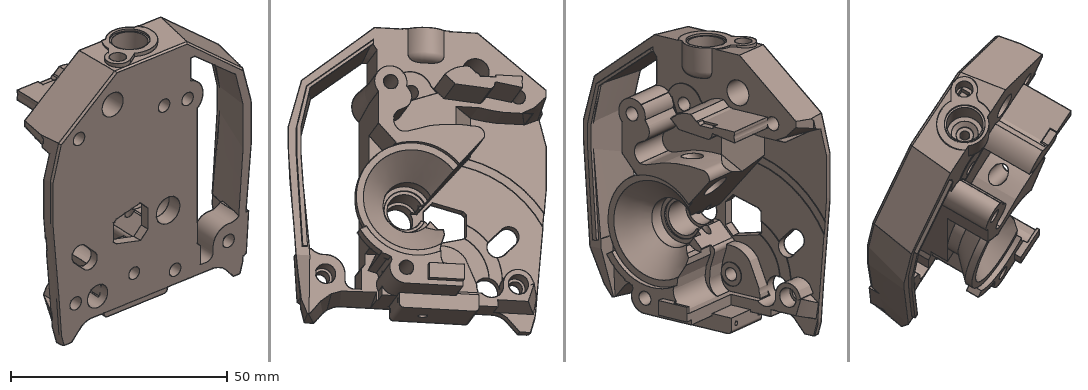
import cadquery as cq
import math


RIB_X = -12.85
TAB_X = -12.7
BLOCK_X = -11.0
RIM_X = -9.65
RIM_BACK_X = -7.8
FLANGE_X = -2.85
BOWL_FLOOR_X = -3.0
LIP_X = -0.9
PAD_X = -0.2
MATE_X = 0.0
BAND_X = 1.5
LEG_X = 4.0
LEDGE_X = 4.55
GEAR_FLOOR_X = 6.2
FLANGE_END_X = 9.0
WINDOW_X = 7.2
PLATE_X = 9.4
EDGE_X = 11.3
BACK_X = 11.85

MID_Y = -4.75
PIN_AXIS_X = 3.6
TOP_Z = 43.85
LOWER_LEDGE_Z = -17.4
SHOULDER_Z = -20.5
FOOT_Z = -24.84
BODY_LEFT_Y = 8.7
BLOCK_RIGHT_Y = -11.2

SCREW_D = 3.4
SCREW_COUNTERBORE_D = 4.7
COUNTERBORE_DEPTH = 4.0


def section(x):
    """Sketch plane across X: local x is Y, local y is Z."""
    return cq.Workplane("YZ", origin=(x, 0, 0))


def prism(points, x_from, x_to):
    return section(x_from).polyline(points).close().extrude(x_to - x_from)


def disc(diameter, y, z, x_from, x_to):
    return section(x_from).center(y, z).circle(diameter / 2).extrude(x_to - x_from)


def box(x_from, x_to, y_from, y_to, z_from, z_to):
    size = (x_to - x_from, y_to - y_from, z_to - z_from)
    return cq.Workplane("XY").box(*size, centered=False).translate((x_from, y_from, z_from))


def drafted(front, x_front, back, x_back):
    """Solid between two outlines with matching corners."""
    return (
        section(x_front).polyline(front).close()
        .workplane(offset=x_back - x_front).polyline(back).close()
        .loft(ruled=True)
    )


def turned(profile):
    """Solid of revolution about the bowl axis from (X, radius) points."""
    return cq.Workplane("XY").polyline(profile).close().revolve(360, (0, 0, 0), (1, 0, 0))


def upright(diameter, x, y, z_from, z_to):
    return (
        cq.Workplane("XY", origin=(x, y, z_from)).circle(diameter / 2).extrude(z_to - z_from)
    )


def mirrored_outline(half):
    left = [(MID_Y + offset, z) for offset, z in half]
    right = [(MID_Y - offset, z) for offset, z in reversed(half)]
    return left + right


def outer_shell():
    mate_half = [(12.15, 43.7), (29.4, 30.0), (32.55, 18.6), (32.55, 14.0),
                 (30.7, -12.0), (29.35, -21.7), (27.6, FOOT_Z)]
    edge_half = [(10.75, 42.8), (27.4, 29.55), (29.85, 20.2), (29.85, 9.0),
                 (28.0, -12.0), (27.3, -21.7), (26.5, FOOT_Z)]
    edge_chamfer = 0.35
    back_half = [(offset - edge_chamfer, z - edge_chamfer) for offset, z in edge_half[:-1]]
    back_half.append((edge_half[-1][0] - edge_chamfer, FOOT_Z))
    edge = mirrored_outline(edge_half)
    shell = drafted(mirrored_outline(mate_half), MATE_X, edge, EDGE_X)
    return shell.union(drafted(edge, EDGE_X, mirrored_outline(back_half), BACK_X))


def foot_notch():
    """Space between the two legs, with rounded shoulders."""
    foot_half, bend_half, flat_half = 24.0, 21.0, 17.9
    bend_z = -21.6
    return (
        section(MATE_X - 1)
        .moveTo(MID_Y + foot_half, FOOT_Z - 1)
        .lineTo(MID_Y + foot_half, FOOT_Z)
        .lineTo(MID_Y + bend_half, bend_z)
        .threePointArc((MID_Y + 19.6, -20.8), (MID_Y + flat_half, SHOULDER_Z))
        .lineTo(MID_Y - flat_half, SHOULDER_Z)
        .threePointArc((MID_Y - 19.6, -20.8), (MID_Y - bend_half, bend_z))
        .lineTo(MID_Y - foot_half, FOOT_Z)
        .lineTo(MID_Y - foot_half, FOOT_Z - 1)
        .close()
        .extrude(BACK_X - MATE_X + 2)
    )


INNER_WALL_FRONT = [(8.0, 40.0), (23.1, 28.3), (24.9, 18.6), (24.9, 12.0), (22.8, -9.6)]
INNER_WALL_BACK = [(8.0, 38.3), (20.1, 29.0), (22.3, 20.2), (22.3, 8.3), (21.1, -8.2)]


def side_opening():
    """Window between the left wall and the central body, drafted with the wall."""
    floor_z = -18.1
    upper_y, neck_z = 6.8, 32.0
    central = [(9.6, floor_z), (9.6, -13.0), (BODY_LEFT_Y, -12.0), (BODY_LEFT_Y, 25.0),
               (upper_y, neck_z), (upper_y, 38.3)]
    wall_foot = (21.0, floor_z)
    front = INNER_WALL_FRONT + [wall_foot] + central
    back = INNER_WALL_BACK + [wall_foot] + central
    return drafted(front, MATE_X, back, BACK_X)


def left_foot_clearance():
    """Clears the left corner down to the screw-boss level and slants the leg."""
    corner = [(22.8, -9.6), (5.6, -9.6), (5.6, FOOT_Z - 1), (22.0, FOOT_Z - 1)]
    inner = prism(corner, MATE_X, LEDGE_X)
    slant = (
        cq.Workplane("XZ", origin=(0, 30, 0))
        .polyline([(MATE_X, -12.0), (LEG_X, FOOT_Z), (LEG_X, FOOT_Z - 1), (MATE_X - 1, FOOT_Z - 1)])
        .close().extrude(12)
    )
    return inner.union(slant)


def left_foot_draft():
    """Drafted underside of the left foot, from the screw tab back to the plate."""
    inner_y = 6.0
    front = [(22.0, FOOT_Z), (21.4, -24.2), (19.2, -21.5), (16.7, -19.6), (14.3, -18.8), (inner_y, -18.6)]
    back = [(19.4, FOOT_Z), (19.0, -24.4), (17.2, -22.3), (16.2, -21.4),
            (13.2, SHOULDER_Z), (inner_y, SHOULDER_Z)]
    below = [(inner_y, FOOT_Z - 1), (22.0, FOOT_Z - 1)]
    return drafted(front + below, LEDGE_X, back + below, BACK_X)


def sealing_lip():
    outer = [(7.8, 40.6), (23.5, 28.6), (25.9, 18.5), (25.9, 12.0), (24.5, -9.9)]
    inner = [(23.4, -9.9), (24.9, 12.0), (24.9, 18.4), (22.7, 28.2), (7.8, 39.6)]
    return prism(outer + inner, LIP_X, MATE_X)


def left_screw_tab(y, z):
    radius = 4.6
    diagonal = radius * math.sqrt(0.5)
    return (
        section(LEDGE_X)
        .moveTo(24.0, -9.0).lineTo(21.4, -9.0)
        .threePointArc((20.3, -9.8), (y, z + radius))
        .threePointArc((y - diagonal, z + diagonal), (y - radius, z))
        .lineTo(y - radius, -16.4)
        .threePointArc((12.7, -17.6), (11.5, -18.1))
        .lineTo(11.5, -20.0).lineTo(20.0, -22.0).lineTo(23.3, -20.0)
        .close()
        .extrude(BACK_X - LEDGE_X)
    )


ARM_BOSS = (5.8, 27.7)
ARM_BOSS_D = 7.6
DIAGONAL_TOP = (-16.3, 15.6)
SLOT_HALF = 1.95
SLOT_Y = -4.4


def arm():
    return (
        section(BLOCK_X)
        .moveTo(BODY_LEFT_Y, 25.3).lineTo(5.8, 31.5).lineTo(3.2, 30.5)
        .lineTo(2.7, 28.0).lineTo(1.2, 25.6)
        .threePointArc((1.0, 23.3), (2.4, 21.7))
        .lineTo(4.1, 20.9)
        .threePointArc((5.1, 18.5), (3.5, 16.1))
        .threePointArc((2.7, 16.0), (1.7, 16.1))
        .lineTo(-3.6, 17.7)
        .threePointArc((-9.0, 18.3), (-14.3, 18.1))
        .threePointArc((-16.0, 17.2), DIAGONAL_TOP)
        .lineTo(SLOT_Y, SLOT_HALF).lineTo(0, 0).lineTo(4.6, 13.2).lineTo(BODY_LEFT_Y, 17.6)
        .close()
        .extrude(PLATE_X - BLOCK_X)
        .union(disc(ARM_BOSS_D, *ARM_BOSS, BLOCK_X, MATE_X))
    )


def arm_boss_root():
    root_d = 9.2
    return (
        section(MATE_X).center(*ARM_BOSS).circle(ARM_BOSS_D / 2)
        .workplane(offset=BACK_X - MATE_X).circle(root_d / 2).loft()
    )


def rib():
    """Tall rib whose right end wraps the corner screw hole."""
    outline = (
        section(RIB_X)
        .moveTo(-6.6, 29.7)
        .threePointArc((-9.0, 31.3), (-12.4, 31.9))
        .lineTo(-14.0, 30.5).lineTo(-15.0, 30.2).lineTo(-24.9, 30.2)
        .lineTo(-24.9, 27.5).lineTo(-18.6, 28.5)
        .lineTo(-18.2, 27.4).lineTo(-17.5, 26.8).lineTo(-9.0, 27.5)
        .close()
        .extrude(MATE_X - RIB_X)
    )
    dip = prism([(-14.4, 30.4), (-15.0, 29.7), (-18.7, 29.7), (-18.7, 30.4)], RIB_X, BLOCK_X)
    return outline.cut(dip)


PAD_SCREW = (-1.2, 28.5)


def raised_pad():
    y, z = PAD_SCREW
    radius = 5.0
    flat = prism([(2.9, 31.0), (-5.8, 30.4), (-7.3, 28.7), (1.0, 25.8)], PAD_X, MATE_X)
    upper = box(PAD_X, MATE_X, y - radius, y + radius, z + 1, z + radius)
    return flat.union(disc(2 * radius, y, z, PAD_X, MATE_X).intersect(upper))


BOWL_R = 13.66


def bowl_outside():
    root_r = 8.7
    taper_end_x = RIM_BACK_X + BOWL_R - root_r
    return turned([(RIM_X, 0), (RIM_X, BOWL_R), (RIM_BACK_X, BOWL_R), (taper_end_x, root_r),
                   (PLATE_X, root_r), (PLATE_X, 0)])


def bowl_inside():
    """Conical bowl, stepped bearing bore and through hole."""
    mouth_r, floor_r = 12.0, 6.0
    seat_r, seat_end_x = 5.0, 1.1
    bore_r, bore_end_x = 8.45 / 2, 7.9
    floor_end_x = 0.65
    hole_r = 7 / 2
    return turned([
        (BLOCK_X - 1, 0), (BLOCK_X - 1, BOWL_R), (RIM_X, BOWL_R), (RIM_X, mouth_r),
        (BOWL_FLOOR_X, floor_r), (floor_end_x, floor_r), (floor_end_x, seat_r),
        (seat_end_x, seat_r), (seat_end_x, bore_r), (bore_end_x, bore_r),
        (bore_end_x, hole_r), (BACK_X + 1, hole_r), (BACK_X + 1, 0),
    ])


def rim_guard():
    """Low arc-shaped wall hugging the lower left of the bowl rim."""
    outer_r = 15.4
    back_x = RIM_BACK_X
    ring = section(BLOCK_X).circle(outer_r).circle(BOWL_R).extrude(back_x - BLOCK_X)
    sector = prism([(0, 0), (26.0, -16.2), (12.0, -26.0), (-9.0, -16.0)], BLOCK_X, back_x)
    return ring.intersect(sector)


LOWER_SCREW = (2.1, -16.7)


def lower_block():
    tab_left_y, tab_bottom_z, tab_top_z = -3.0, -19.3, -15.7
    return (
        section(BLOCK_X)
        .moveTo(8.0, -13.5).lineTo(6.1, -14.0)
        .threePointArc((5.6, -14.7), (5.9, -15.8))
        .threePointArc((5.3, -18.9), (LOWER_SCREW[0], SHOULDER_Z))
        .lineTo(BLOCK_RIGHT_Y, SHOULDER_Z)
        .lineTo(BLOCK_RIGHT_Y, LOWER_LEDGE_Z).lineTo(-9.5, LOWER_LEDGE_Z)
        .lineTo(-9.5, -5.5).lineTo(SLOT_Y, -SLOT_HALF).lineTo(4.0, -5.0)
        .close()
        .extrude(PLATE_X - BLOCK_X)
        .union(box(TAB_X, BLOCK_X, BLOCK_RIGHT_Y, tab_left_y, tab_bottom_z, tab_top_z))
    )


def side_pocket_frame():
    return box(LEDGE_X, BACK_X, 4.0, 9.6, SHOULDER_Z, -13.3)


RAMP_TOP_Y = -11.8
RAMP_FOOT_Y = -17.2


def bay_outline(x_from):
    return (
        section(x_from)
        .moveTo(RAMP_FOOT_Y, 25.8)
        .threePointArc((-20.2, 25.3), (-23.1, 25.0))
        .lineTo(-29.9, 25.0).lineTo(-33.0, 26.3).lineTo(-40.0, 26.3)
        .lineTo(-40.0, FOOT_Z - 1)
        .lineTo(BLOCK_RIGHT_Y, FOOT_Z - 1).lineTo(BLOCK_RIGHT_Y, LOWER_LEDGE_Z)
    )


def gear_bay():
    deep = (
        bay_outline(BLOCK_X - 1)
        .lineTo(-9.5, LOWER_LEDGE_Z)
        .threePointArc((-7.6, -15.6), (-7.3, -13.5))
        .lineTo(-7.5, -10.8).lineTo(-8.6, -7.2)
        .threePointArc((-8.7, -6.3), (-8.0, -5.5))
        .lineTo(SLOT_Y, -SLOT_HALF).lineTo(0, -SLOT_HALF)
        .lineTo(0, SLOT_HALF).lineTo(SLOT_Y, SLOT_HALF)
        .lineTo(*DIAGONAL_TOP).lineTo(RAMP_FOOT_Y, 16.6)
        .close()
        .extrude(PLATE_X - BLOCK_X + 1)
    )
    step = (
        section(BLOCK_X - 1)
        .moveTo(-9.5, LOWER_LEDGE_Z)
        .threePointArc((-7.0, -15.8), (-6.0, -13.0))
        .lineTo(-6.3, -10.6).lineTo(-7.5, -7.5).lineTo(-7.4, -5.2).lineTo(-9.5, -5.2)
        .close()
        .extrude(BAND_X - BLOCK_X + 1)
    )
    jaw_x = -2.1
    jaw_relief = [(SLOT_Y, -SLOT_HALF), (-4.2, -4.75), (-5.8, -5.7), (-7.5, -6.0), (-8.0, -5.5)]
    return deep.union(step).union(prism(jaw_relief, BLOCK_X - 1, jaw_x))


def bay_corner():
    """Flat and slanted facet where the bay breaks out of the right side."""
    flat_y, flat_end_x = -33.1, 7.0
    flat = box(MATE_X - 1, flat_end_x, -40.0, flat_y, 25.0, 35.0)
    facet = drafted(
        [(-27.5, 25.1), (-30.3, 26.5), (-33.2, 29.4), (-36.0, 29.4), (-36.0, 25.0)], MATE_X,
        [(-29.8, 25.0), (-29.9, 25.0), (-33.0, 26.3), (-36.0, 26.4), (-36.0, 25.0)], PLATE_X,
    )
    return flat.union(facet)


def arm_tip_facet():
    """Tilted flat on the arm tip, in front of the bay ramp."""
    corner = (MATE_X, RAMP_TOP_Y, 18.3)
    facing = (18.7, -27.4, 31.7)
    size, height = 30, 12
    above = cq.Workplane(cq.Plane(origin=corner, xDir=(0, 31.7, 27.4), normal=facing))
    above = above.rect(size, size).extrude(height)
    run, drop = PLATE_X, RAMP_TOP_Y - RAMP_FOOT_Y
    far_y = -22.0
    in_front = [(-run, RAMP_TOP_Y + drop), (PLATE_X, RAMP_FOOT_Y), (PLATE_X, far_y), (-run, far_y)]
    bottom_z, top_z = 10.0, 19.0
    bay_side = cq.Workplane("XY", origin=(0, 0, bottom_z)).polyline(in_front).close()
    return above.intersect(bay_side.extrude(top_z - bottom_z))


def bay_ramp():
    """Ramp from the mating face down to the back plate on the left of the bay."""
    ramp = [(MATE_X, RAMP_TOP_Y), (PLATE_X, RAMP_FOOT_Y), (MATE_X, RAMP_FOOT_Y)]
    bottom_z, top_z = 10.0, 25.8
    return cq.Workplane("XY", origin=(0, 0, bottom_z)).polyline(ramp).close().extrude(top_z - bottom_z)


GEAR_AXIS = (-10.1, -13.1)


def gear_floor():
    """Raised floor around the lower gear pin, with the ledge below it."""
    floor = (
        section(GEAR_FLOOR_X)
        .moveTo(-7.0, -5.8).lineTo(-9.0, -6.2)
        .threePointArc((-12.6, -6.7), (-15.3, -8.9))
        .lineTo(-18.0, -15.0).lineTo(-18.4, -17.5).lineTo(-7.0, -17.5)
        .close()
        .extrude(PLATE_X - GEAR_FLOOR_X)
    )
    seat_d, seat_height = 5.8, 0.2
    seat = disc(seat_d, *GEAR_AXIS, GEAR_FLOOR_X - seat_height, PLATE_X)
    ledge = box(LEDGE_X, PLATE_X, -22.6, BLOCK_RIGHT_Y, SHOULDER_Z, LOWER_LEDGE_Z)
    return floor.union(seat).union(ledge)


def right_screw_boss(y, z):
    radius = 3.55
    inner_y = -22.6
    top = (y, z + radius)
    front = [(inner_y, z), (-30.4, z), (-31.2, -14.4), (-29.8, -18.8), (inner_y, -18.8)]
    back = [(inner_y, z), (-30.4, z), (-32.7, -16.4), (-32.0, SHOULDER_Z), (inner_y, SHOULDER_Z)]
    base = drafted(front, LEDGE_X, back, PLATE_X)
    cap = (
        section(LEDGE_X)
        .moveTo(y + radius, z).threePointArc(top, (y - 2.84, z + 2.13))
        .lineTo(-31.2, -14.4).lineTo(y + radius, -18.0).close().extrude(PLATE_X - LEDGE_X)
    )
    return base.union(cap)


def right_foot_facet():
    """Slanted facet down the outer edge of the right foot."""
    below = (-34.5, FOOT_Z - 1)
    front = [(-33.6, -16.4), (-32.8, -16.4), (-31.9, SHOULDER_Z), (-30.7, FOOT_Z - 1), below]
    back = [(-33.6, -23.4), (-33.2, -23.4), (-32.6, -24.0), (-31.6, FOOT_Z - 1), below]
    return drafted(front, PLATE_X - 1, back, EDGE_X)


OUTER_GROOVE = (27.8, 29.8)
INNER_GROOVE = (11.5, 14.6)


def plate_groove(inner_r, outer_r):
    """Shallow arc groove in the back plate, concentric with the gear pin."""
    depth = 0.2
    ring = section(PLATE_X).center(*GEAR_AXIS).circle(outer_r).circle(inner_r).extrude(depth)
    bay_floor = [(-17.4, 17.5), (-15.0, 14.2), (-16.0, -10.0), (-20.0, -16.0), (-40.0, -10.0), (-40.0, 17.5)]
    bay = prism(bay_floor, PLATE_X, PLATE_X + depth)
    return ring.intersect(bay)


POST_R = 5.57
LOBE = (8.2, -12.0)


def top_post():
    tip_z, tip_fillet = 35.8, 2.0
    shaft = upright(2 * POST_R, PIN_AXIS_X, MID_Y, tip_z, TOP_Z).faces("<Z").edges().fillet(tip_fillet)
    pad_r, lobe_r, pad_z = 6.5, 3.1, 42.0
    pad = upright(2 * pad_r, PIN_AXIS_X, MID_Y, pad_z, TOP_Z)
    pad = pad.intersect(box(MATE_X, EDGE_X, MID_Y - 10, MID_Y + 10, pad_z, TOP_Z))
    lobe = upright(2 * lobe_r, *LOBE, pad_z, TOP_Z)
    web = (
        cq.Workplane("XY", origin=(0, 0, pad_z))
        .polyline([(3.6, -11.0), (9.2, -7.7), (10.8, -10.3), (5.3, -12.5)]).close()
        .extrude(TOP_Z - pad_z)
    )
    return shaft.union(pad).union(lobe).union(web)


def top_post_bores():
    bore_d, mouth_d, mouth_depth = 8.45, 9.4, 0.5
    bore_floor_z, throat_d = 37.4, 6.25
    seat_d, seat_floor_z, floor_z = 4.0, 36.6, 36.3
    lobe_d, lobe_floor_z = 4.0, 40.0
    key_size, key_floor_z = 2.2, 38.0
    mouth = upright(mouth_d, PIN_AXIS_X, MID_Y, TOP_Z - mouth_depth, TOP_Z + 1)
    bores = mouth.union(upright(bore_d, PIN_AXIS_X, MID_Y, bore_floor_z, TOP_Z))
    throat = (
        cq.Workplane("XY", origin=(PIN_AXIS_X, MID_Y, seat_floor_z)).circle(seat_d / 2)
        .workplane(offset=bore_floor_z - seat_floor_z).circle(throat_d / 2).loft()
    )
    bores = bores.union(throat).union(upright(seat_d, PIN_AXIS_X, MID_Y, floor_z, bore_floor_z))
    lobe_hole = upright(lobe_d, *LOBE, lobe_floor_z, TOP_Z + 1)
    key_shift = 0.3
    key = (
        cq.Workplane("XY", origin=(LOBE[0] + key_shift, LOBE[1], key_floor_z)).rect(key_size, key_size)
        .extrude(lobe_floor_z - key_floor_z + 1)
    )
    return bores.union(lobe_hole).union(key)


def pin_bore():
    pin_d = 2.2
    return upright(pin_d, PIN_AXIS_X, MID_Y, FOOT_Z - 1, TOP_Z + 1)


def bottom_flange():
    right_y, left_y, bottom_z, corner_r = -16.7, 2.1, -24.0, 1.0
    flange = box(FLANGE_X, FLANGE_END_X, right_y, left_y, bottom_z, SHOULDER_Z + 0.5)
    flange = flange.edges("|X and <Z").fillet(corner_r)
    hole_d, hole_z = 1.0, -21.8
    for x in (-0.9, 8.1):
        start = cq.Workplane("XZ", origin=(x, left_y + 1, hole_z))
        flange = flange.cut(start.circle(hole_d / 2).extrude(left_y - right_y + 2))
    return flange


LEFT_SCREW = (18.0, -14.8)
RIGHT_SCREW = (2 * MID_Y - LEFT_SCREW[0], LEFT_SCREW[1])
CORNER_SCREW = (-26.5, 28.9)


def axial_holes():
    upper_hole, lower_hole = (-16.5, 34.4), (-21.0, -15.3)
    upper_d, lower_d, gear_pin_d = 6.25, 6.0, 3.2
    holes = disc(upper_d, *upper_hole, MATE_X - 1, BACK_X + 1)
    holes = holes.union(disc(lower_d, *lower_hole, LEDGE_X - 1, BACK_X + 1))
    holes = holes.union(disc(gear_pin_d, *GEAR_AXIS, GEAR_FLOOR_X - 1, BACK_X + 1))
    for y, z in (ARM_BOSS, PAD_SCREW, CORNER_SCREW, LOWER_SCREW):
        holes = holes.union(disc(SCREW_D, y, z, RIB_X - 1, BACK_X + 1))
    for y, z in (LEFT_SCREW, RIGHT_SCREW):
        holes = holes.union(disc(SCREW_D, y, z, LEDGE_X - 1, BACK_X + 1))
        holes = holes.union(disc(SCREW_COUNTERBORE_D, y, z, LEDGE_X - 1, LEDGE_X + COUNTERBORE_DEPTH))
    return holes


def plate_windows():
    corners = [(-8.2, 5.05), (-15.4, 3.3), (-16.2, 2.6), (-16.2, -2.6),
               (-15.4, -3.3), (-8.2, -5.05), (-6.0, -2.8), (-6.0, 2.8)]
    window = prism(corners, WINDOW_X, BACK_X + 1)
    slot_length, slot_width, slot_angle = 8.7, 4.7, -45
    slot = (
        section(PLATE_X - 1).center(-24.85, -3.45).transformed(rotate=(0, 0, slot_angle))
        .slot2D(slot_length, slot_width).extrude(BACK_X - PLATE_X + 2)
    )
    return window.union(slot)


def oil_hole():
    """Counterbored hole through the arm, square to its diagonal face."""
    normal = (0, 0.74, 0.67)
    plane = cq.Plane(origin=(-4.4, -13.2, 12.1), xDir=(1, 0, 0), normal=normal)
    bore_d, bore_length = 4.2, 14.0
    wide_d, wide_depth = 6.4, 1.5
    bore = cq.Workplane(plane).circle(bore_d / 2).extrude(bore_length)
    counterbore = cq.Workplane(plane).workplane(offset=-1).circle(wide_d / 2).extrude(wide_depth + 1)
    return bore.union(counterbore)


shell = outer_shell().cut(foot_notch()).cut(side_opening())
shell = shell.cut(left_foot_clearance()).cut(bay_ramp())

body = shell.union(arm()).union(arm_boss_root()).union(bowl_outside()).union(lower_block())
body = body.union(rim_guard()).union(side_pocket_frame()).cut(left_foot_draft())
body = body.cut(bowl_inside()).cut(gear_bay()).cut(bay_corner()).cut(arm_tip_facet())

body = body.union(rib()).union(raised_pad()).union(sealing_lip()).union(gear_floor())
body = body.union(left_screw_tab(*LEFT_SCREW).cut(left_foot_draft()))
body = body.union(right_screw_boss(*RIGHT_SCREW)).cut(right_foot_facet())
body = body.union(bottom_flange()).union(top_post())

body = body.cut(plate_groove(*OUTER_GROOVE)).cut(plate_groove(*INNER_GROOVE))
body = body.cut(top_post_bores()).cut(pin_bore())
body = body.cut(axial_holes()).cut(plate_windows()).cut(oil_hole())

result = body